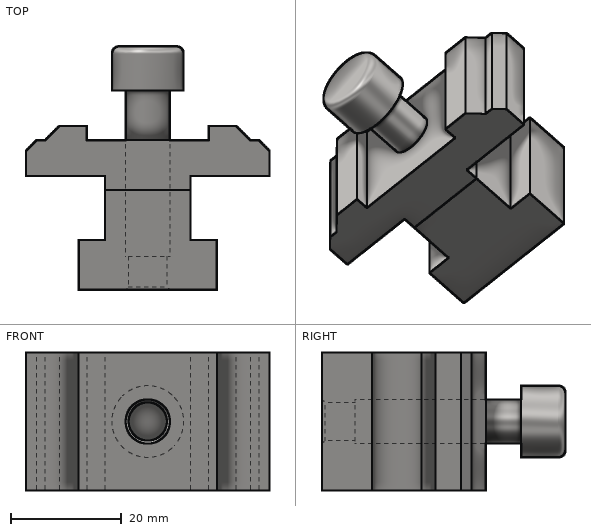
import cadquery as cq

overall_length = 44.0
body_height = 25.0

foot_width = 25.0
foot_depth = 9.0
stem_width = 15.5
nut_length = 18.0

plate_width = overall_length
tongue_length = 2.55
plate_thickness = 6.45
plate_chamfer = 1.9
lug_height = 2.6
lug_base_outer = 18.55
lug_top_outer = lug_base_outer - lug_height
lug_inner = 11.0

screw_diameter = 8.0
head_diameter = 13.0
head_height = 8.0
head_fillet = 1.3
screw_tip_y = 6.0
head_seat_y = overall_length - head_height

core_diameter = 6.9
hole_chamfer = (screw_diameter - core_diameter) / 2

plate_front_y = nut_length + tongue_length
plate_back_y = plate_front_y + plate_thickness
lug_top_y = plate_back_y + lug_height


def extrude_symmetric(half_outline):
    """Mirror an outline given on the +X side and extrude it about Z = 0."""
    mirrored = [(-x, y) for x, y in reversed(half_outline)]
    outline = cq.Workplane("XY").polyline(half_outline + mirrored).close()
    return outline.extrude(body_height / 2, both=True)


def cylinder_along_y(diameter, start_y, end_y):
    """Solid cylinder on the screw axis between two Y positions."""
    return cq.Workplane("XZ", origin=(0, start_y, 0)).circle(diameter / 2).extrude(start_y - end_y)


def make_nut():
    nut = extrude_symmetric([
        (foot_width / 2, 0),
        (foot_width / 2, foot_depth),
        (stem_width / 2, foot_depth),
        (stem_width / 2, nut_length),
    ])
    nut = nut.cut(cylinder_along_y(core_diameter, 0, screw_tip_y))
    nut = nut.faces("<Y").edges("%CIRCLE").chamfer(hole_chamfer)
    return nut.cut(cylinder_along_y(screw_diameter, screw_tip_y, nut_length))


def make_clamp_plate():
    plate = extrude_symmetric([
        (stem_width / 2, nut_length),
        (stem_width / 2, plate_front_y),
        (plate_width / 2, plate_front_y),
        (plate_width / 2, plate_back_y - plate_chamfer),
        (plate_width / 2 - plate_chamfer, plate_back_y),
        (lug_base_outer, plate_back_y),
        (lug_top_outer, lug_top_y),
        (lug_inner, lug_top_y),
        (lug_inner, plate_back_y),
    ])
    return plate.cut(cylinder_along_y(screw_diameter, nut_length, plate_back_y))


def make_screw():
    head = cylinder_along_y(head_diameter, head_seat_y, overall_length)
    head = head.faces(">Y").edges().fillet(head_fillet)
    shank = cylinder_along_y(screw_diameter, screw_tip_y, head_seat_y)
    return head.union(shank)


nut = make_nut()
clamp_plate = make_clamp_plate()
screw = make_screw()

result = cq.Compound.makeCompound([nut.val(), clamp_plate.val(), screw.val()])